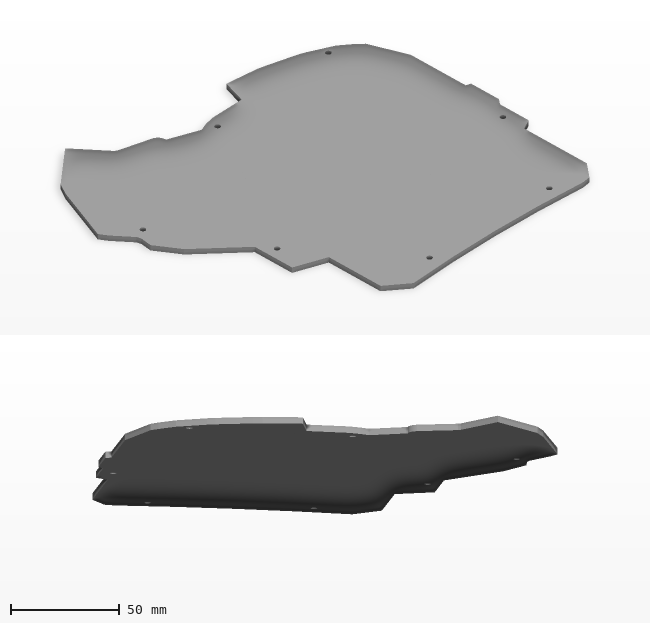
import cadquery as cq

length_y = 203.0
width_x = 191.3
thickness = 3.0
hole_diameter = 3.0

tab_top = length_y
upper_edge = 200.5
shoulder_edge = 194.3
right_lower_edge = 59.7
middle_lower_edge = 42.2
left_wall = 32.9

right_side_bottom = (188.6, 71.7)
right_side_middle = (187.8, 125.9)
right_side_top = (width_x, 182.3)

lobe_corner_start = (24.0, 71.7)
lobe_corner_middle = (25.5, 74.0)
lobe_corner_end = (28.8, 75.1)

bottom_points = [
    (61.3, 2.6),
    (71.5, 10.5),
    (74.0, 11.2),
    (80.5, 10.4),
    (93.8, 18.7),
    (116.1, middle_lower_edge),
    (139.7, middle_lower_edge),
    (146.4, right_lower_edge),
    (179.0, right_lower_edge),
    right_side_bottom,
]

top_points = [
    (190.7, 187.2),
    (182.3, shoulder_edge),
    (142.7, shoulder_edge),
    (139.9, upper_edge),
    (121.8, upper_edge),
    (118.5, tab_top),
    (101.0, tab_top),
    (100.0, upper_edge),
    (65.4, upper_edge),
]

left_points = [
    (44.5, 192.5),
    (41.2, 189.2),
    (35.5, 182.1),
    (29.0, 168.7),
    (27.6, 165.0),
    (22.7, 148.2),
    (21.7, 144.2),
    (19.3, 125.9),
    (left_wall, 121.6),
    (left_wall, 102.0),
    (34.1, 96.2),
    (35.7, 92.0),
    (29.2, 75.5),
    lobe_corner_end,
]

lowest_tip = (56.9, 0.0)
lobe_points = [
    (18.7, 53.6),
    (17.9, 52.4),
    (0.0, 38.4),
    (17.7, 16.6),
    (24.4, 12.8),
]

hole_centers = [
    (129.5, 194.1),
    (36.8, 175.6),
    (183.1, 168.3),
    (39.2, 98.9),
    (180.3, 91.2),
    (124.5, 48.3),
    (69.5, 16.9),
]


def draw_lines(sketch, points):
    """Continue the outline with a straight edge to each point in turn."""
    for x, y in points:
        sketch = sketch.lineTo(x, y)
    return sketch


def make_plate():
    outline = cq.Workplane("XY").moveTo(*lowest_tip)
    outline = draw_lines(outline, bottom_points)
    outline = outline.threePointArc(right_side_middle, right_side_top)
    outline = draw_lines(outline, top_points)
    outline = draw_lines(outline, left_points)
    outline = outline.threePointArc(lobe_corner_middle, lobe_corner_start)
    outline = draw_lines(outline, lobe_points)
    return outline.close().extrude(thickness)


def make_hole_pins():
    return cq.Workplane("XY").pushPoints(hole_centers).circle(hole_diameter / 2).extrude(thickness)


result = make_plate().cut(make_hole_pins())